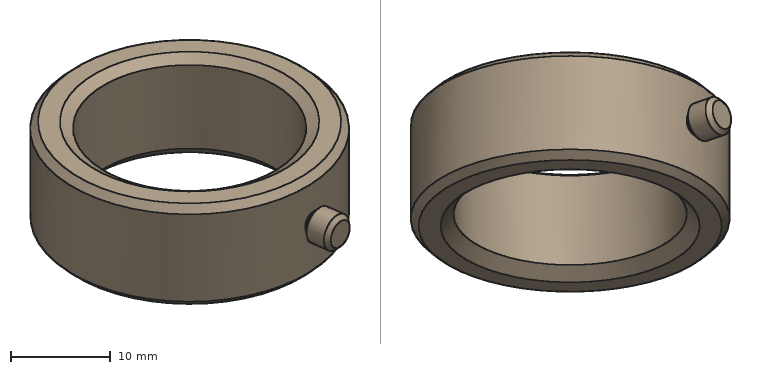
import cadquery as cq
import math

ring_diameter = 32.0
ring_height = 12.0
rim_chamfer = 0.8
bore_diameter = 23.4
mouth_diameter = 26.0
upper_mouth_slope = 30.0
lower_mouth_slope = 45.0

screw_height = 6.5
shank_diameter = 2.5
head_diameter = 4.0
head_length = 3.2
head_inner_chamfer = 0.45
head_outer_chamfer = 0.5
screw_outer_end = 19.5
screw_tip_recess = 0.8

ring_radius = ring_diameter / 2
bore_radius = bore_diameter / 2
mouth_radius = mouth_diameter / 2
mouth_width = mouth_radius - bore_radius
upper_mouth_depth = mouth_width * math.tan(math.radians(upper_mouth_slope))
lower_mouth_depth = mouth_width * math.tan(math.radians(lower_mouth_slope))
head_start = screw_outer_end - head_length
screw_tip = bore_radius + screw_tip_recess


def rod_along_x(diameter, start, end):
    """Round rod on the screw axis, from X = start to X = end."""
    plane = cq.Plane(origin=(start, 0, screw_height), xDir=(0, 1, 0), normal=(1, 0, 0))
    return cq.Workplane(plane).circle(diameter / 2).extrude(end - start)


def make_ring():
    """Collar with chamfered rims, conical bore mouths and a radial screw hole."""
    wall_section = [
        (mouth_radius, 0),
        (ring_radius - rim_chamfer, 0),
        (ring_radius, rim_chamfer),
        (ring_radius, ring_height - rim_chamfer),
        (ring_radius - rim_chamfer, ring_height),
        (mouth_radius, ring_height),
        (bore_radius, ring_height - upper_mouth_depth),
        (bore_radius, lower_mouth_depth),
    ]
    collar = cq.Workplane("YZ").polyline(wall_section).close().revolve(360, (0, 0), (0, 1))
    screw_hole = rod_along_x(shank_diameter, 0, ring_diameter)
    return collar.cut(screw_hole)


def make_screw():
    """Screw with a plain shank and a round head chamfered at both ends."""
    head = rod_along_x(head_diameter, head_start, screw_outer_end)
    head = head.faces("<X").chamfer(head_inner_chamfer)
    head = head.faces(">X").chamfer(head_outer_chamfer)
    shank = rod_along_x(shank_diameter, screw_tip, head_start)
    return head.union(shank)


ring = make_ring()
screw = make_screw()

result = cq.Compound.makeCompound([ring.val(), screw.val()])